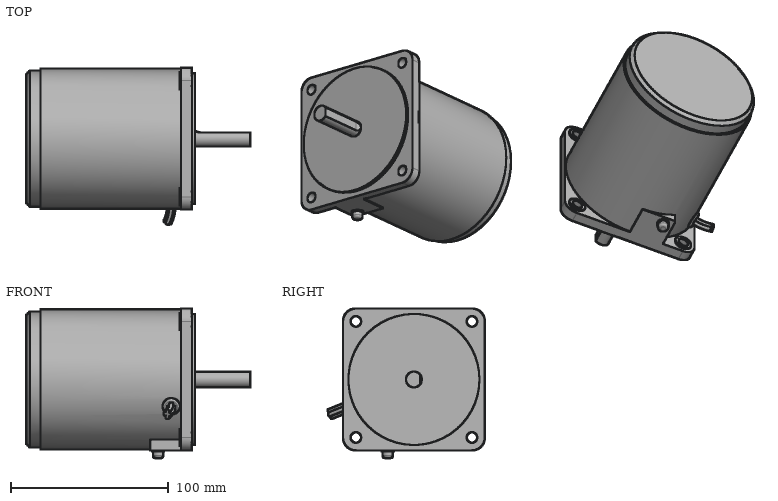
import cadquery as cq
import math


body_radius = 44.5
cap_radius = 43.2
cap_length = 9.0
cap_chamfer = 2.4
body_end = 98.0

flange_size = 90.0
flange_thickness = 7.0
flange_corner_radius = 8.2
hole_spacing = 73.5
hole_diameter = 6.5
pad_diameter = 11.0
pad_height = 0.75
flange_front = body_end + flange_thickness

pilot_radius = 41.5
pilot_height = 2.0
shaft_radius = 5.0
shaft_length = 35.0
flat_depth = 1.0
flat_runout = 4.0
pilot_front = flange_front + pilot_height
runout_radius = (flat_runout**2 + flat_depth**2) / (2 * flat_depth)

block_start = 78.4
block_width = 23.0
block_edge_radius = 1.0

screw_x = 83.6
screw_y = -16.6
screw_washer_diameter = 7.7
screw_washer_thickness = 0.7
screw_head_diameter = 6.7
screw_head_round = 1.8
screw_height = 4.92

cable_x = 91.9
cable_angle = math.radians(22.5)
grommet_radius = 5.5
grommet_top = body_radius + 1.5
grommet_round = 1.45
wire_diameter = 2.75
cable_height = 6.7
bend_radius = 26.7
bend_angle = 25.0
bend_start = 46.3

embed = 5.0


def axial_cylinder(radius, start, end):
    """Cylinder around the motor axis between two X positions."""
    return cq.Workplane("YZ", origin=(start, 0, 0)).circle(radius).extrude(end - start)


def make_body():
    cap = axial_cylinder(cap_radius, 0, cap_length).faces("<X").chamfer(cap_chamfer)
    return cap.union(axial_cylinder(body_radius, cap_length, body_end))


def make_flange():
    plate = (
        cq.Workplane("YZ", origin=(body_end, 0, 0))
        .rect(flange_size, flange_size)
        .extrude(flange_thickness)
        .edges("|X")
        .fillet(flange_corner_radius)
    )
    pads = (
        cq.Workplane("YZ", origin=(body_end - pad_height, 0, 0))
        .rect(hole_spacing, hole_spacing, forConstruction=True)
        .vertices()
        .circle(pad_diameter / 2)
        .extrude(pad_height)
    )
    pilot = axial_cylinder(pilot_radius, flange_front, pilot_front)
    return plate.union(pads).union(pilot)


def make_mounting_holes():
    return (
        cq.Workplane("YZ", origin=(body_end - pad_height, 0, 0))
        .rect(hole_spacing, hole_spacing, forConstruction=True)
        .vertices()
        .circle(hole_diameter / 2)
        .extrude(flange_thickness + pad_height)
    )


def make_shaft():
    """Shaft with a flat on its +Y side that rises to full diameter in an arc."""
    shaft_end = pilot_front + shaft_length
    flat_start = pilot_front + flat_runout
    flat_y = shaft_radius - flat_depth
    half_sweep = math.asin(flat_runout / runout_radius) / 2
    arc_middle = (
        flat_start - runout_radius * math.sin(half_sweep),
        flat_y + runout_radius * (1 - math.cos(half_sweep)),
    )
    flat_cut = (
        cq.Workplane("XY")
        .moveTo(pilot_front, shaft_radius)
        .threePointArc(arc_middle, (flat_start, flat_y))
        .lineTo(shaft_end, flat_y)
        .lineTo(shaft_end, shaft_radius)
        .close()
        .extrude(shaft_radius, both=True)
    )
    shaft = axial_cylinder(shaft_radius, pilot_front, shaft_end)
    return shaft.cut(flat_cut)


def make_terminal_block():
    """Block filling the space between the round body and the flange's lower edge."""
    flange_bottom = -flange_size / 2
    block_height = flange_size / 2 - math.sqrt(body_radius**2 - block_width**2) + embed
    return (
        cq.Workplane("XY", origin=(block_start, -block_width, flange_bottom))
        .rect(body_end - block_start, block_width, centered=False)
        .extrude(block_height)
        .edges("|Z and <X and <Y")
        .fillet(block_edge_radius)
    )


def make_ground_screw():
    base = cq.Workplane("XY", origin=(screw_x, screw_y, -flange_size / 2))
    washer = base.circle(screw_washer_diameter / 2).extrude(-screw_washer_thickness)
    head = (
        base.circle(screw_head_diameter / 2)
        .extrude(-screw_height)
        .faces("<Z")
        .edges()
        .fillet(screw_head_round)
    )
    return washer.union(head)


def radial_plane(radius):
    """Plane facing out along the cable direction, at a distance from the motor axis."""
    outward = cq.Vector(0, -math.cos(cable_angle), -math.sin(cable_angle))
    origin = cq.Vector(cable_x, 0, 0) + outward * radius
    return cq.Plane(origin=origin, xDir=(1, 0, 0), normal=outward)


def make_grommet():
    bottom = body_radius - embed
    return (
        cq.Workplane(radial_plane(bottom))
        .circle(grommet_radius)
        .extrude(grommet_top - bottom)
        .faces(cq.selectors.DirectionMinMaxSelector(radial_plane(0).zDir))
        .edges()
        .fillet(grommet_round)
    )


def make_cable():
    """Four wires, merged in a rhombus, that leave radially and bend toward -X."""
    half_short = wire_diameter / 2
    half_long = (cable_height - wire_diameter) / 2
    centers = [(half_short, 0), (0, half_long), (-half_short, 0), (0, -half_long)]
    straight_start = body_radius - embed

    profile = cq.Sketch().polygon(centers + centers[:1])
    profile = profile.push(centers).circle(wire_diameter / 2).reset()

    straight = (
        cq.Workplane(radial_plane(straight_start))
        .placeSketch(profile)
        .extrude(bend_start - straight_start)
    )
    bend = (
        cq.Workplane(radial_plane(bend_start))
        .placeSketch(profile)
        .revolve(bend_angle, (-bend_radius, 0, 0), (-bend_radius, -1, 0))
    )
    return straight.union(bend)


result = (
    make_body()
    .union(make_flange())
    .union(make_terminal_block())
    .cut(make_mounting_holes())
    .union(make_shaft())
    .union(make_ground_screw())
    .union(make_grommet())
    .union(make_cable())
)